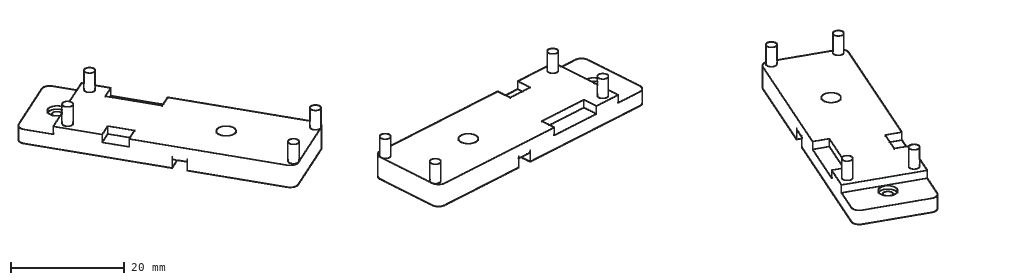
import cadquery as cq

length = 52
width = 16.0
plate_height = 4.5
corner_radius = 1.5
cut_depth = 1.6
step_length = 6.9

total_height = 8.5
pin_diameter = 2.0
pin_spacing_x = 42.0
pin_spacing_y = 12.5
pin_x_high = length - pin_diameter / 2
pin_x_low = pin_x_high - pin_spacing_x

screw_x = (5.0, 36.45)
screw_diameter = 1.8
head_diameter = 3.5
head_floor = 2.25

pocket_depth_y = 3.1
back_pocket_x = (12.4, 22.95)
front_pocket_x = (16.0, 21.0)

groove_x = (29.0, 31.8)
groove_depth = 1.35
groove_mouth_radius = 1.0

floor_z = plate_height - cut_depth


def box_between(x_range, y_range, z_range):
    """Box spanning the given (low, high) ranges."""
    lows, highs = zip(x_range, y_range, z_range)
    sizes = [high - low for low, high in zip(lows, highs)]
    return cq.Workplane("XY").box(*sizes, centered=False).translate(lows)


def plate():
    """Rounded plate with a lowered step at the low-X end."""
    blank = (
        cq.Workplane("XY")
        .box(length, width, plate_height, centered=(False, True, False))
        .edges("|Z")
        .fillet(corner_radius)
    )
    step = box_between((0, step_length), (-width / 2, width / 2), (floor_z, plate_height))
    return blank.cut(step)


def edge_pocket(x_range, y_range):
    """Rectangular pocket open to the top and to one long side."""
    return box_between(x_range, y_range, (floor_z, plate_height))


def strap_groove():
    """Groove along Y whose ceiling curves up into both long sides."""
    mouth_height = groove_depth + groove_mouth_radius
    curve_start = width / 2 - groove_mouth_radius
    return (
        cq.Workplane("YZ", origin=(groove_x[0], 0, 0))
        .moveTo(-width / 2, 0)
        .lineTo(-width / 2, mouth_height)
        .radiusArc((-curve_start, groove_depth), -groove_mouth_radius)
        .lineTo(curve_start, groove_depth)
        .radiusArc((width / 2, mouth_height), -groove_mouth_radius)
        .lineTo(width / 2, 0)
        .close()
        .extrude(groove_x[1] - groove_x[0])
    )


def screw_holes():
    """Through holes with counterbores open to the top."""
    points = [(x, 0) for x in screw_x]
    shanks = cq.Workplane("XY").pushPoints(points).circle(screw_diameter / 2).extrude(plate_height)
    heads = (
        cq.Workplane("XY", origin=(0, 0, head_floor))
        .pushPoints(points)
        .circle(head_diameter / 2)
        .extrude(plate_height - head_floor)
    )
    return shanks.union(heads)


def pins():
    """Four upright pins on a rectangular pattern, rooted in the plate."""
    return (
        cq.Workplane("XY", origin=((pin_x_low + pin_x_high) / 2, 0, floor_z))
        .rarray(pin_spacing_x, pin_spacing_y, 2, 2)
        .circle(pin_diameter / 2)
        .extrude(total_height - floor_z)
    )


result = (
    plate()
    .union(pins())
    .cut(edge_pocket(back_pocket_x, (width / 2 - pocket_depth_y, width / 2)))
    .cut(edge_pocket(front_pocket_x, (-width / 2, -width / 2 + pocket_depth_y)))
    .cut(strap_groove())
    .cut(screw_holes())
)